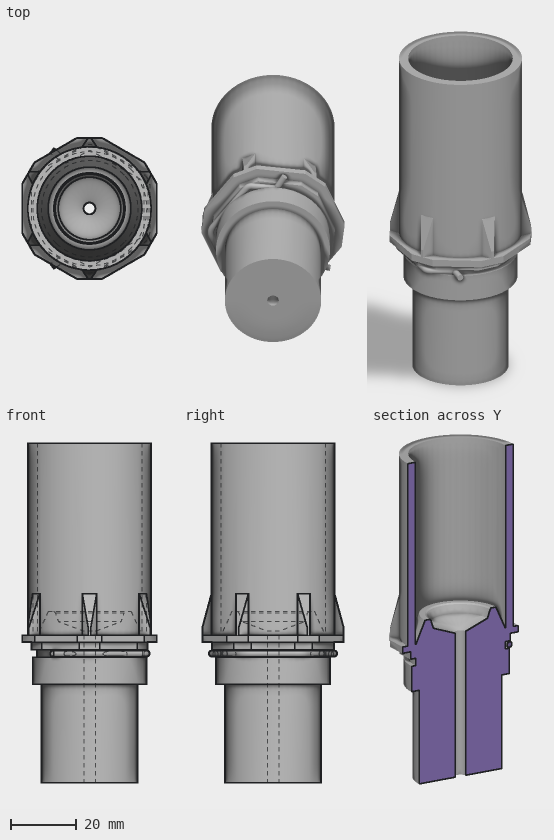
import cadquery as cq
import math

TOTAL_HEIGHT = 103.3
COLLAR_BOTTOM = 30.0
COLLAR_TOP = 38.2
NUT_BOTTOM = 40.4
FLANGE_BOTTOM = 42.8
FLANGE_TOP = 44.9
RIB_SHOULDER = 47.3
RIB_TOP = 57.4

SPIGOT_RADIUS = 14.7
COLLAR_RADIUS = 17.4
GROOVE_RADIUS = 16.0
SLEEVE_RADIUS = 37.5 / 2

FLANGE_HALF_X = 41.0 / 2
FLANGE_HALF_Y = 21.5
NUT_HALF_X = 17.7
NUT_HALF_Y = 18.6

RIB_COUNT = 6
FIRST_RIB_ANGLE = 30
RIB_ROOT_WIDTH = 4.3
RIB_TIP_WIDTH = 0.8
RIB_EMBED = 1.0

BORE_RADIUS = 15.9
BORE_FLOOR = FLANGE_TOP
NOZZLE_TIP_RADIUS = 12.6
NOZZLE_HEIGHT = 7.2
MOUTH_RADIUS = 10.8
MOUTH_CHAMFER = 0.4
SOCKET_DEPTH = 3.1
SOCKET_BOTTOM_RADIUS = 9.5
FUNNEL_DEPTH = 2.9
PASSAGE_RADIUS = 1.8

WIRE_RADIUS = 0.9
CLIP_Z = (COLLAR_TOP + NUT_BOTTOM) / 2
CLIP_END = (-11.4, -17.6)
CLIP_WAIST = (-7.4, -14.7)
CLIP_PEAK = (0.0, -18.9)
CLIP_SIDE_X = 17.4
CLIP_SIDE_Y = CLIP_PEAK[1] + CLIP_SIDE_X * math.tan(math.radians(30))
WAIST_BEND = 1.0
PEAK_BEND = 2.1
SIDE_BEND = 3.6


def cylinder(radius, bottom, top):
    return cq.Workplane("XY").workplane(offset=bottom).circle(radius).extrude(top - bottom)


def hexagon(half_width, turn, bottom, top):
    """Hexagonal plate with the given distance from the axis to each side."""
    plate = cq.Workplane("XY").polygon(6, 2 * half_width, circumscribed=True).extrude(top - bottom)
    return plate.rotate((0, 0, 0), (0, 0, 1), turn).translate((0, 0, bottom))


def twelve_sided_plate(half_x, half_y, bottom, top):
    """Hexagon with sides facing X, its corners cut by a hexagon with sides facing Y."""
    return hexagon(half_x, 0, bottom, top).intersect(hexagon(half_y, 30, bottom, top))


def rib(angle):
    """Gusset that narrows outward and has a sloped outer face."""
    root = SLEEVE_RADIUS - RIB_EMBED
    taper = cq.Workplane("XY").workplane(offset=FLANGE_TOP).polyline([
        (root, -RIB_ROOT_WIDTH / 2),
        (SLEEVE_RADIUS, -RIB_ROOT_WIDTH / 2),
        (FLANGE_HALF_Y, -RIB_TIP_WIDTH / 2),
        (FLANGE_HALF_Y, RIB_TIP_WIDTH / 2),
        (SLEEVE_RADIUS, RIB_ROOT_WIDTH / 2),
        (root, RIB_ROOT_WIDTH / 2),
    ]).close().extrude(RIB_TOP - FLANGE_TOP)
    side = cq.Workplane("XZ").polyline([
        (root, FLANGE_TOP),
        (FLANGE_HALF_Y, FLANGE_TOP),
        (FLANGE_HALF_Y, RIB_SHOULDER),
        (SLEEVE_RADIUS, RIB_TOP),
        (root, RIB_TOP),
    ]).close().extrude(RIB_ROOT_WIDTH / 2, both=True)
    return taper.intersect(side).rotate((0, 0, 0), (0, 0, 1), angle)


def bore():
    """Space inside the housing: the bore around the nozzle, the nozzle's socket and the passage."""
    tip = BORE_FLOOR + NOZZLE_HEIGHT
    chamfer_bottom = tip - MOUTH_CHAMFER
    socket_bottom = tip - SOCKET_DEPTH
    return cq.Workplane("XZ").polyline([
        (0, 0),
        (PASSAGE_RADIUS, 0),
        (PASSAGE_RADIUS, socket_bottom - FUNNEL_DEPTH),
        (SOCKET_BOTTOM_RADIUS, socket_bottom),
        (MOUTH_RADIUS - MOUTH_CHAMFER, chamfer_bottom),
        (MOUTH_RADIUS, tip),
        (NOZZLE_TIP_RADIUS, tip),
        (BORE_RADIUS, BORE_FLOOR),
        (BORE_RADIUS, TOTAL_HEIGHT),
        (0, TOTAL_HEIGHT),
    ]).close().revolve(360, (0, 0, 0), (0, 1, 0))


def bend_points(before, corner, after, radius):
    """Start, middle and end of the arc of the given radius that rounds a corner."""
    middle = cq.Vector(*corner)
    back = (cq.Vector(*before) - middle).normalized()
    ahead = (cq.Vector(*after) - middle).normalized()
    half_angle = back.getAngle(ahead) / 2
    setback = radius / math.tan(half_angle)
    gap = radius / math.sin(half_angle) - radius
    inward = (back + ahead).normalized()
    return middle + back * setback, middle + inward * gap, middle + ahead * setback


def make_clip():
    """Wire bent along a symmetric path, open at -X, with both ends turned outward."""
    half = [CLIP_END, CLIP_WAIST, CLIP_PEAK, (CLIP_SIDE_X, CLIP_SIDE_Y)]
    corners = half + [(x, -y) for x, y in reversed(half)]
    bends = [WAIST_BEND, PEAK_BEND, SIDE_BEND, SIDE_BEND, PEAK_BEND, WAIST_BEND]
    path = cq.Workplane("XY").moveTo(*CLIP_END)
    for before, corner, after, radius in zip(corners, corners[1:], corners[2:], bends):
        start, middle, end = bend_points(before, corner, after, radius)
        path = path.lineTo(start.x, start.y).threePointArc((middle.x, middle.y), (end.x, end.y))
    path = path.lineTo(*corners[-1])
    direction = cq.Vector(*CLIP_WAIST) - cq.Vector(*CLIP_END)
    section = cq.Workplane(cq.Plane(origin=(*CLIP_END, 0), xDir=(0, 0, 1), normal=direction.toTuple()))
    return section.circle(WIRE_RADIUS).sweep(path).translate((0, 0, CLIP_Z))


def make_housing(clip):
    housing = (
        cylinder(SPIGOT_RADIUS, 0, COLLAR_BOTTOM)
        .union(cylinder(COLLAR_RADIUS, COLLAR_BOTTOM, COLLAR_TOP))
        .union(cylinder(GROOVE_RADIUS, COLLAR_TOP, NUT_BOTTOM))
        .union(twelve_sided_plate(NUT_HALF_X, NUT_HALF_Y, NUT_BOTTOM, FLANGE_BOTTOM))
        .union(twelve_sided_plate(FLANGE_HALF_X, FLANGE_HALF_Y, FLANGE_BOTTOM, FLANGE_TOP))
        .union(cylinder(SLEEVE_RADIUS, FLANGE_TOP, TOTAL_HEIGHT))
    )
    for index in range(RIB_COUNT):
        housing = housing.union(rib(FIRST_RIB_ANGLE + index * 360 / RIB_COUNT))
    return housing.cut(bore()).cut(clip)


clip = make_clip()
housing = make_housing(clip)

result = cq.Compound.makeCompound([housing.val(), clip.val()])